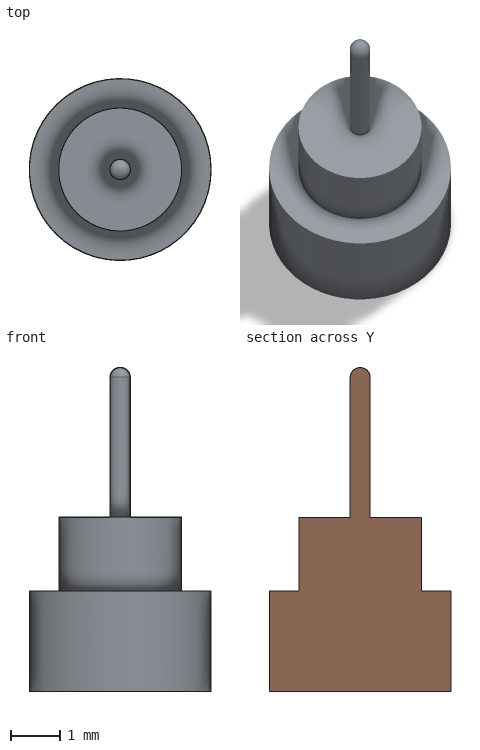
import cadquery as cq

total_height = 6.6
base_diameter = 3.7
base_height = 2.05
neck_diameter = 2.5
neck_height = 1.5
pin_diameter = 0.415
pin_tip_height = 0.2

neck_top = base_height + neck_height
pin_shoulder = total_height - pin_tip_height


def cylinder(diameter, bottom, top):
    """Upright cylinder on the Z axis between two levels."""
    return cq.Workplane("XY").workplane(offset=bottom).circle(diameter / 2).extrude(top - bottom)


def domed_pin():
    """Contact pin with a rounded tip, rising from the top of the neck."""
    radius = pin_diameter / 2
    cap_radius = (radius**2 + pin_tip_height**2) / (2 * pin_tip_height)
    cap = cq.Workplane("XY").sphere(cap_radius).translate((0, 0, total_height - cap_radius))
    shaft = cylinder(pin_diameter, neck_top, pin_shoulder)
    tip = cylinder(pin_diameter, pin_shoulder, total_height).intersect(cap)
    return shaft.union(tip)


base = cylinder(base_diameter, 0, base_height)
neck = cylinder(neck_diameter, base_height, neck_top)

result = base.union(neck).union(domed_pin())